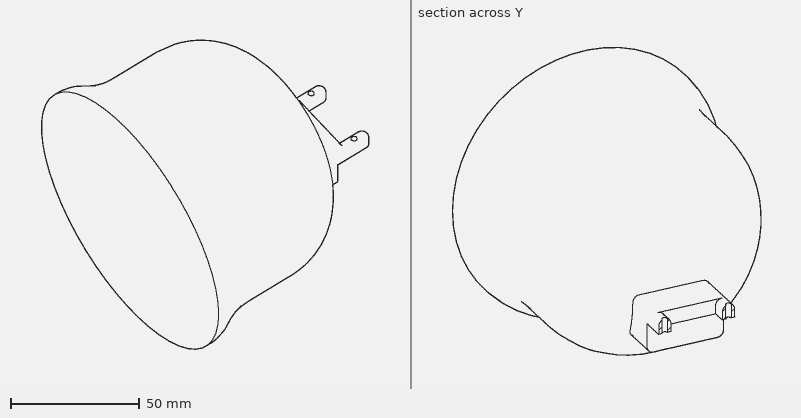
import cadquery as cq
import math

rim_radius = 57.2
rim_width = 1.7
body_radius = 50.7
flare_end = 24.3
dome_radius = 30.5
body_length = 76.2

flare_radius = dome_radius
flare_height = rim_radius - body_radius
flare_length = flare_end - rim_width
flare_angle = 2 * math.atan(flare_height / flare_length)
lip_radius = flare_length / math.sin(flare_angle) - flare_radius

connector_width = 33.1
connector_top = -11.3
connector_bottom = -30.5
block_end = 88.8
web_end = 92.9
prong_end = 105.4
prong_width = 5.5
prong_height = 6.3
round_radius = prong_width / 2
prong_offset = connector_width / 2 - round_radius
pin_hole_diameter = 2.3
pin_hole_from_tip = 6.6
root = body_length / 2


def arc_point(center, radius, angle):
    """Point on an arc in (radius, Y) coordinates."""
    return center[0] + radius * math.cos(angle), center[1] + radius * math.sin(angle)


def make_bell():
    lip_center = (rim_radius - lip_radius, rim_width)
    flare_center = (body_radius + flare_radius, flare_end)
    dome_center = (body_radius - dome_radius, body_length - dome_radius)
    profile = (
        cq.Workplane("XY")
        .lineTo(rim_radius, 0)
        .lineTo(rim_radius, rim_width)
        .threePointArc(
            arc_point(lip_center, lip_radius, flare_angle / 2),
            arc_point(lip_center, lip_radius, flare_angle),
        )
        .threePointArc(
            arc_point(flare_center, flare_radius, math.pi + flare_angle / 2),
            (body_radius, flare_end),
        )
        .lineTo(body_radius, dome_center[1])
        .threePointArc(
            arc_point(dome_center, dome_radius, math.pi / 4),
            (dome_center[0], body_length),
        )
        .lineTo(0, body_length)
        .close()
    )
    return profile.revolve(360, (0, 0, 0), (0, 1, 0))


def bar(width, bottom, end):
    """Bar along Y from inside the bell, with its top at the connector top."""
    size = (width, end - root, connector_top - bottom)
    center = (0, (root + end) / 2, (connector_top + bottom) / 2)
    return cq.Workplane("XY").box(*size).translate(center)


def make_block():
    block = bar(connector_width, connector_bottom, block_end)
    return block.edges("|Y").fillet(round_radius)


def make_prong(x_center):
    """Prong with a half-round top, a ball-nosed tip and a cross hole."""
    bottom = connector_top - prong_height
    middle_z = connector_top - round_radius
    tip_center = prong_end - round_radius
    shaft = (
        cq.Workplane("XZ", origin=(x_center, root, 0))
        .moveTo(-round_radius, bottom)
        .lineTo(round_radius, bottom)
        .lineTo(round_radius, middle_z)
        .threePointArc((0, connector_top), (-round_radius, middle_z))
        .close()
        .extrude(root - tip_center)
    )
    rise = round_radius * math.sin(math.pi / 4)
    tip = (
        cq.Workplane("XZ", origin=(x_center, tip_center, 0))
        .moveTo(0, bottom)
        .lineTo(round_radius, bottom)
        .lineTo(round_radius, middle_z)
        .threePointArc((rise, middle_z + rise), (0, connector_top))
        .close()
        .revolve(360, (0, 0, 0), (0, 1, 0))
    )
    hole = (
        cq.Workplane("XY", origin=(x_center, prong_end - pin_hole_from_tip, bottom))
        .circle(pin_hole_diameter / 2)
        .extrude(prong_height)
    )
    return shaft.union(tip).cut(hole)


result = make_bell().union(make_block())

result = result.union(bar(2 * prong_offset, connector_top - prong_height, web_end))

for side in (-1, 1):
    result = result.union(make_prong(side * prong_offset))